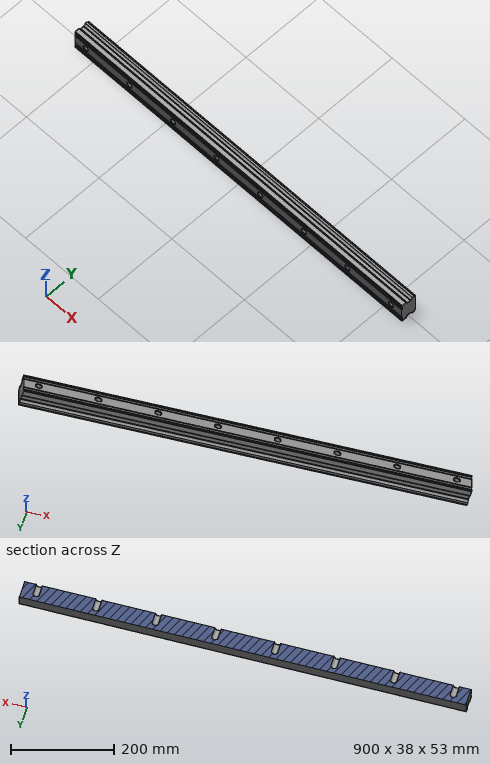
import cadquery as cq
import math

LENGTH = 900.0
HEIGHT = 38.0
WIDTH = 53.0

TRACK_RADIUS = 5.7
UPPER_TRACK_INSET = 3.4
RIDGE_UPPER_EDGE = 14.4
RIDGE_LOWER_EDGE = 9.8
LOWER_TRACK_END = 5.3
LOWER_TRACK_DEPTH = 4.1

GROOVE_DEPTH = 5.5
GROOVE_FLOOR_UPPER = 4.4
GROOVE_FLOOR_LOWER = -2.7
GROOVE_LOWER_EDGE = -7.8

BASE_CHAMFER = 1.3
RELIEF_OUTER = 21.0
RELIEF_INNER = 13.65
RELIEF_DEPTH = 1.5

HOLE_COUNT = 8
HOLE_PITCH = 120.0
HOLE_DIAMETER = 11.84
HOLE_MOUTH_DIAMETER = 14.0
HOLE_DEPTH = 24.0
DRILL_TIP_ANGLE = 118.0


def half_profile():
    """+Z half of the cross-section in local coordinates (Y, Z), closed along Z = 0."""
    top = HEIGHT / 2
    base = -HEIGHT / 2
    side = WIDTH / 2
    groove_floor = side - GROOVE_DEPTH
    relief_floor = base + RELIEF_DEPTH
    return (
        cq.Workplane("YZ", origin=(-LENGTH / 2, 0, 0))
        .moveTo(base, 0)
        .lineTo(top, 0)
        .lineTo(top, side - UPPER_TRACK_INSET)
        .radiusArc((RIDGE_UPPER_EDGE, side), TRACK_RADIUS)
        .lineTo(RIDGE_LOWER_EDGE, side)
        .radiusArc((LOWER_TRACK_END, side - LOWER_TRACK_DEPTH), TRACK_RADIUS)
        .lineTo(GROOVE_FLOOR_UPPER, groove_floor)
        .lineTo(GROOVE_FLOOR_LOWER, groove_floor)
        .lineTo(GROOVE_LOWER_EDGE, side)
        .lineTo(base + BASE_CHAMFER, side)
        .lineTo(base, side - BASE_CHAMFER)
        .lineTo(base, RELIEF_OUTER)
        .lineTo(relief_floor, RELIEF_OUTER)
        .lineTo(relief_floor, RELIEF_INNER)
        .lineTo(base, RELIEF_INNER)
        .close()
    )


def rail_body():
    """Half profile extruded along X and mirrored about Z = 0."""
    half = half_profile().extrude(LENGTH)
    return half.union(half.mirror("XY")).clean()


def tapped_hole(x):
    """Cutter for one blind hole with a countersunk mouth and a drill-point end."""
    radius = HOLE_DIAMETER / 2
    mouth_radius = HOLE_MOUTH_DIAMETER / 2
    mouth_depth = mouth_radius - radius
    tip_depth = radius / math.tan(math.radians(DRILL_TIP_ANGLE / 2))
    outline = [
        (0, 0),
        (mouth_radius, 0),
        (radius, mouth_depth),
        (radius, HOLE_DEPTH),
        (0, HOLE_DEPTH + tip_depth),
    ]
    cutter = cq.Workplane("XY").polyline(outline).close().revolve(360, (0, 0), (0, 1))
    return cutter.translate((x, -HEIGHT / 2, 0))


result = rail_body()
first_hole = -HOLE_PITCH * (HOLE_COUNT - 1) / 2
for index in range(HOLE_COUNT):
    result = result.cut(tapped_hole(first_hole + index * HOLE_PITCH))